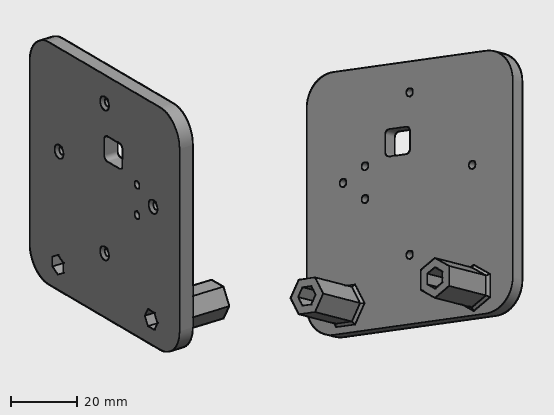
import cadquery as cq
import math

plate_width = 77.4
plate_height = 80.9
plate_thickness = 5.0
plate_corner_radius = 10.0

screw_center_z = 5.9
screw_reach = 25.0
screw_reach_left = 23.5
screw_diameter = 2.5
countersink_diameter = 4.5
countersink_angle = 90

pin_diameter = 2.5
pin_x = 16.75
pin_spacing = 10.1

window_width = 9.3
window_height = 8.4
window_x = 4.5
window_z = 16.3
window_corner_radius = 1.5

total_depth = 24.8
post_x = 24.0
post_z = -32.05
post_across_corners = 12.3
bore_across_corners = 6.55
flare_height = 1.0
flare_growth = 1.95
posts = [(-post_x, 30), (post_x, 0)]


def face_plane(y):
    """Plane parallel to the plate whose normal points backwards, along +Y."""
    return cq.Workplane(cq.Plane(origin=(0, y, 0), xDir=(1, 0, 0), normal=(0, 1, 0)))


def hexagon_points(center_x, turn, across_corners):
    """Corners of a hexagon at the post height; local y runs along -Z."""
    radius = across_corners / 2
    angles = [math.radians(turn + 60 * i) for i in range(6)]
    return [(center_x + radius * math.cos(a), -post_z + radius * math.sin(a)) for a in angles]


def make_plate():
    return (
        face_plane(0)
        .rect(plate_width, plate_height)
        .extrude(plate_thickness)
        .edges("|Y")
        .fillet(plate_corner_radius)
    )


def make_post(center_x, turn):
    foot = hexagon_points(center_x, turn, post_across_corners + flare_growth)
    outline = hexagon_points(center_x, turn, post_across_corners)
    shaft = face_plane(plate_thickness).polyline(outline).close().extrude(total_depth - plate_thickness)
    flare = (
        face_plane(plate_thickness)
        .polyline(foot)
        .close()
        .workplane(offset=flare_height)
        .polyline(outline)
        .close()
        .loft(ruled=True)
    )
    return shaft.union(flare)


def make_bore(center_x, turn):
    outline = hexagon_points(center_x, turn, bore_across_corners)
    return face_plane(0).polyline(outline).close().extrude(total_depth)


def make_window():
    return (
        face_plane(0)
        .center(window_x, -window_z)
        .rect(window_width, window_height)
        .extrude(plate_thickness)
        .edges("|Y")
        .fillet(window_corner_radius)
    )


def drill_holes(body):
    front = cq.Workplane("XZ").newObject([body.val()])
    screws = [
        (0, screw_center_z + screw_reach),
        (0, screw_center_z - screw_reach),
        (-screw_reach_left, screw_center_z),
        (screw_reach, screw_center_z),
    ]
    pins = [(pin_x, 0), (pin_x, pin_spacing)]
    front = front.pushPoints(screws).cskHole(screw_diameter, countersink_diameter, countersink_angle)
    return front.pushPoints(pins).hole(pin_diameter)


result = make_plate()
for center_x, turn in posts:
    result = result.union(make_post(center_x, turn))
for center_x, turn in posts:
    result = result.cut(make_bore(center_x, turn))
result = result.cut(make_window())
result = drill_holes(result)